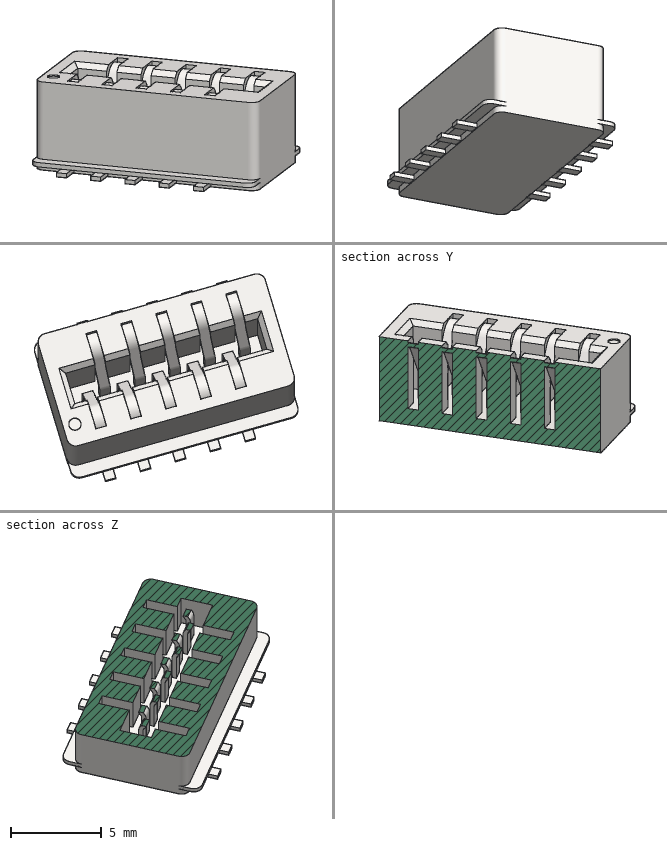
import cadquery as cq
import math

housing_length = 13.0
housing_width = 6.6
housing_height = 5.05
corner_radius = 0.5

flange_width = 8.01
flange_bottom = 0.38
flange_thickness = 0.25

recess_length = 11.6
recess_width = 2.39
lead_in = 0.3
recess_floor = 1.0

mark_diameter = 0.68
mark_depth = 0.08
mark_x = -5.84
mark_y = -2.08

contacts_per_row = 5
pitch = 2.0
row_shift = 0.5
contact_width = 0.6
strip_thickness = 0.25
slot_end = 2.66

crest_y = 2.02
crest_z = 4.95
crest_radius = 0.95
slope_angle = 56.0
root_angle = 90.0
tip_y = -0.05
tip_radius = 0.45

tail_end = 4.5
tail_bottom = 0.05


def rounded_plate(width, bottom, thickness):
    """Plate of the housing length with rounded vertical corners."""
    plate = cq.Workplane("XY").box(housing_length, width, thickness, centered=(True, True, False))
    return plate.edges("|Z").fillet(corner_radius).translate((0, 0, bottom))


def make_recess():
    """Volume of the recess: a straight pocket widening at its mouth."""
    pocket_length = recess_length - 2 * lead_in
    pocket_width = recess_width - 2 * lead_in
    pocket_depth = housing_height - recess_floor
    pocket = (
        cq.Workplane("XY")
        .box(pocket_length, pocket_width, pocket_depth, centered=(True, True, False))
        .translate((0, 0, recess_floor))
    )
    mouth = (
        cq.Workplane("XY", origin=(0, 0, housing_height))
        .rect(recess_length, recess_width)
        .extrude(-lead_in, taper=45)
    )
    return pocket.union(mouth)


def make_slot():
    """Volume of one slot, from the recess to the outer slot end."""
    return (
        cq.Workplane("XY")
        .box(contact_width, slot_end, housing_height - recess_floor, centered=(True, False, False))
        .translate((0, 0, recess_floor))
    )


def polar(center, radius, angle):
    """Point in the YZ plane, with the angle measured from +Z towards -Y."""
    turn = math.radians(angle)
    return (center[0] - radius * math.sin(turn), center[1] + radius * math.cos(turn))


def make_spring():
    """Bent strip: crest arc, slope, tip bend and a vertical leg to the recess floor."""
    crest_center = (crest_y, crest_z - crest_radius)
    inner_crest = crest_radius - strip_thickness
    inner_tip = tip_radius - strip_thickness
    crest_middle = (slope_angle - root_angle) / 2
    tip_middle = (slope_angle + 90) / 2

    slope = math.radians(slope_angle)
    tip_center_y = tip_y + tip_radius
    run = crest_center[0] - tip_center_y
    drop = (run * math.sin(slope) - (crest_radius - tip_radius)) / math.cos(slope)
    tip_center = (tip_center_y, crest_center[1] - drop)

    return (
        cq.Workplane("YZ")
        .moveTo(*polar(crest_center, crest_radius, -root_angle))
        .threePointArc(
            polar(crest_center, crest_radius, crest_middle),
            polar(crest_center, crest_radius, slope_angle),
        )
        .lineTo(*polar(tip_center, tip_radius, slope_angle))
        .threePointArc(polar(tip_center, tip_radius, tip_middle), polar(tip_center, tip_radius, 90))
        .lineTo(tip_y, recess_floor)
        .lineTo(tip_y + strip_thickness, recess_floor)
        .lineTo(*polar(tip_center, inner_tip, 90))
        .threePointArc(
            polar(tip_center, inner_tip, tip_middle),
            polar(tip_center, inner_tip, slope_angle),
        )
        .lineTo(*polar(crest_center, inner_crest, slope_angle))
        .threePointArc(
            polar(crest_center, inner_crest, crest_middle),
            polar(crest_center, inner_crest, -root_angle),
        )
        .close()
        .extrude(contact_width / 2, both=True)
    )


def make_tail():
    """Flat solder tail, from inside the housing outwards."""
    return (
        cq.Workplane("XY")
        .box(contact_width, tail_end - slot_end, strip_thickness, centered=(True, False, False))
        .translate((0, slot_end, tail_bottom))
    )


def both_rows(shape):
    """Copies of a +Y row shape at every contact; the -Y row is the +Y row turned about Z."""
    copies = cq.Workplane("XY")
    for i in range(contacts_per_row):
        x = row_shift + (i - (contacts_per_row - 1) / 2) * pitch
        placed = shape.translate((x, 0, 0))
        copies = copies.add(placed)
        copies = copies.add(placed.rotate((0, 0, 0), (0, 0, 1), 180))
    return copies.combine()


housing = rounded_plate(housing_width, 0, housing_height)
housing = housing.union(rounded_plate(flange_width, flange_bottom, flange_thickness))
housing = housing.cut(make_recess()).cut(both_rows(make_slot()))

mark = (
    cq.Workplane("XY", origin=(mark_x, mark_y, housing_height))
    .circle(mark_diameter / 2)
    .extrude(-mark_depth)
)
housing = housing.cut(mark)

result = housing.union(both_rows(make_spring())).union(both_rows(make_tail()))